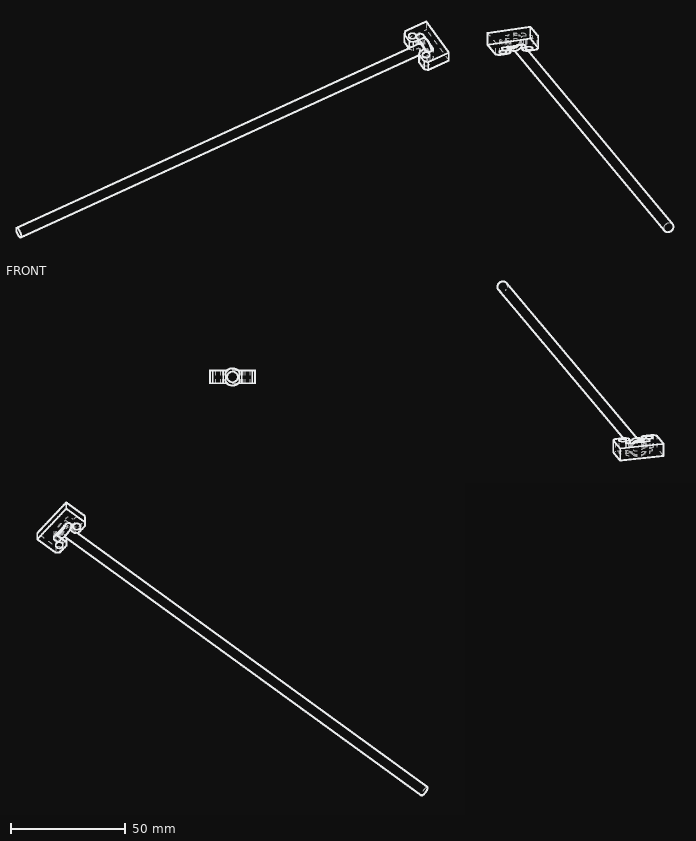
import cadquery as cq

total_length = 212.0
back_y = total_length / 2

block_width = 20.0
block_length = 11.9
block_height = 5.7
corner_chamfer = 1.3
pocket_width = 10.8
pocket_depth = 4.9
pocket_fillet = 1.3
slot_width = 5.7

rod_diameter = 4.7
head_diameter = 7.6
head_thickness = 3.2
head_chamfer = 0.5
pocket_end_depth = pocket_depth + head_thickness

pin_diameter = 3.2
pin_spacing = 12.0
pin_depth = 9.3
pin_y = back_y - pin_depth


def box_between_depths(width, start_depth, end_depth):
    """Box of block height, centred on X and Z, between two depths."""
    return cq.Workplane("XY").box(width, end_depth - start_depth, block_height).translate(
        (0, back_y - (start_depth + end_depth) / 2, 0)
    )


def make_pin(x):
    """Pin along Z, as tall as the block."""
    return cq.Workplane("XY").center(x, pin_y).circle(pin_diameter / 2).extrude(block_height / 2, both=True)


def make_block(pins):
    block = box_between_depths(block_width, 0, block_length)
    block = block.cut(box_between_depths(slot_width, pocket_depth, block_length))
    block = block.faces("<Y").edges("|Z").chamfer(corner_chamfer)
    pocket = box_between_depths(pocket_width, pocket_depth, pocket_end_depth)
    pocket = pocket.edges("|Z").fillet(pocket_fillet)
    block = block.cut(pocket)
    for pin in pins:
        block = block.cut(pin)
    return block


def make_rod():
    """Rod along Y with a chamfered head against the back of the pocket."""
    head_y = back_y - pocket_depth
    head = cq.Workplane("XZ", origin=(0, head_y, 0)).circle(head_diameter / 2).extrude(head_thickness)
    head = head.faces(">Y").edges().chamfer(head_chamfer)
    shank_length = total_length - pocket_depth
    shank = cq.Workplane("XZ", origin=(0, head_y, 0)).circle(rod_diameter / 2).extrude(shank_length)
    return head.union(shank)


pins = [make_pin(side * pin_spacing / 2) for side in (-1, 1)]
block = make_block(pins)
rod = make_rod()

result = cq.Compound.makeCompound([block.val(), rod.val(), *[pin.val() for pin in pins]])